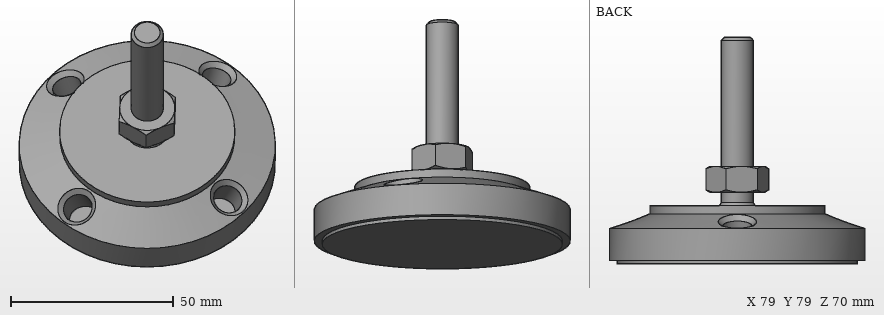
import cadquery as cq
import math

base_radius = 39.5
rim_bottom_z = 1.0
rim_top_z = 10.9
flange_radius = 27.0
flange_bottom_z = 15.5
flange_top_z = 18.0

pad_radius = 37.05
pad_top_z = 2.8

hole_count = 4
hole_radius = 4.5
countersink_radius = 6.1
hole_centre_radius = 33.3
hole_length = 19.75
shoulder_angle = math.atan2(flange_bottom_z - rim_top_z, base_radius - flange_radius)
countersink_overshoot = 0.15
countersink_depth = countersink_radius - hole_radius

stud_radius = 5.0
stud_top_z = 70.0
stud_chamfer = 1.0
hex_across_flats = 17.0
hex_bottom_z = 22.1
hex_height = 8.0
hex_turn = 8.7
hex_chamfer_angle = math.radians(30)
flare_top_z = 18.95
flare_angle = math.radians(30)
foot_radius = 6.5
foot_bottom_z = 9.5
flare_bottom_z = flare_top_z - (foot_radius - stud_radius) / math.tan(flare_angle)


def revolve_profile(points):
    """Turn a closed (radius, z) outline around the Z axis."""
    return cq.Workplane("XZ").polyline(points).close().revolve(360, (0, 0), (0, 1))


def disc(radius, bottom_z, top_z):
    return cq.Workplane("XY").workplane(offset=bottom_z).circle(radius).extrude(top_z - bottom_z)


def fixing_hole(turn):
    """Cutter for one hole: a shank with a cone at its mouth, pointing into the shoulder."""
    mouth_z = rim_top_z + (base_radius - hole_centre_radius) * math.tan(shoulder_angle)
    inward = cq.Vector(-math.sin(shoulder_angle), 0, -math.cos(shoulder_angle))
    mouth = cq.Vector(hole_centre_radius, 0, mouth_z)
    shank = cq.Solid.makeCylinder(hole_radius, hole_length, mouth, inward)
    cone = cq.Solid.makeCone(
        countersink_radius + countersink_overshoot,
        hole_radius,
        countersink_depth + countersink_overshoot,
        mouth - inward * countersink_overshoot,
        inward,
    )
    return cq.Workplane(shank.fuse(cone)).rotate((0, 0, 0), (0, 0, 1), turn)


def make_base():
    base = revolve_profile([
        (0, rim_bottom_z),
        (base_radius, rim_bottom_z),
        (base_radius, rim_top_z),
        (flange_radius, flange_bottom_z),
        (flange_radius, flange_top_z),
        (0, flange_top_z),
    ])
    base = base.cut(disc(pad_radius, rim_bottom_z, pad_top_z))
    base = base.cut(disc(foot_radius, foot_bottom_z, flange_top_z))
    for index in range(hole_count):
        base = base.cut(fixing_hole(index * 360 / hole_count))
    return base


def make_pad():
    return disc(pad_radius, 0, pad_top_z)


def make_hexagon():
    """Hexagon with its corners chamfered at both ends."""
    flat_radius = hex_across_flats / 2
    corner_radius = flat_radius / math.cos(math.radians(30))
    corner_drop = (corner_radius - flat_radius) * math.tan(hex_chamfer_angle)
    hex_top_z = hex_bottom_z + hex_height
    hexagon = (
        cq.Workplane("XY")
        .workplane(offset=hex_bottom_z)
        .polygon(6, 2 * corner_radius)
        .extrude(hex_height)
        .rotate((0, 0, 0), (0, 0, 1), hex_turn)
    )
    chamfer_envelope = revolve_profile([
        (0, hex_bottom_z),
        (flat_radius, hex_bottom_z),
        (corner_radius, hex_bottom_z + corner_drop),
        (corner_radius, hex_top_z - corner_drop),
        (flat_radius, hex_top_z),
        (0, hex_top_z),
    ])
    return hexagon.intersect(chamfer_envelope)


def make_spindle():
    stud = revolve_profile([
        (0, foot_bottom_z),
        (foot_radius, foot_bottom_z),
        (foot_radius, flare_bottom_z),
        (stud_radius, flare_top_z),
        (stud_radius, stud_top_z - stud_chamfer),
        (stud_radius - stud_chamfer, stud_top_z),
        (0, stud_top_z),
    ])
    return stud.union(make_hexagon())


base = make_base()
pad = make_pad()
spindle = make_spindle()

result = cq.Compound.makeCompound([base.val(), pad.val(), spindle.val()])